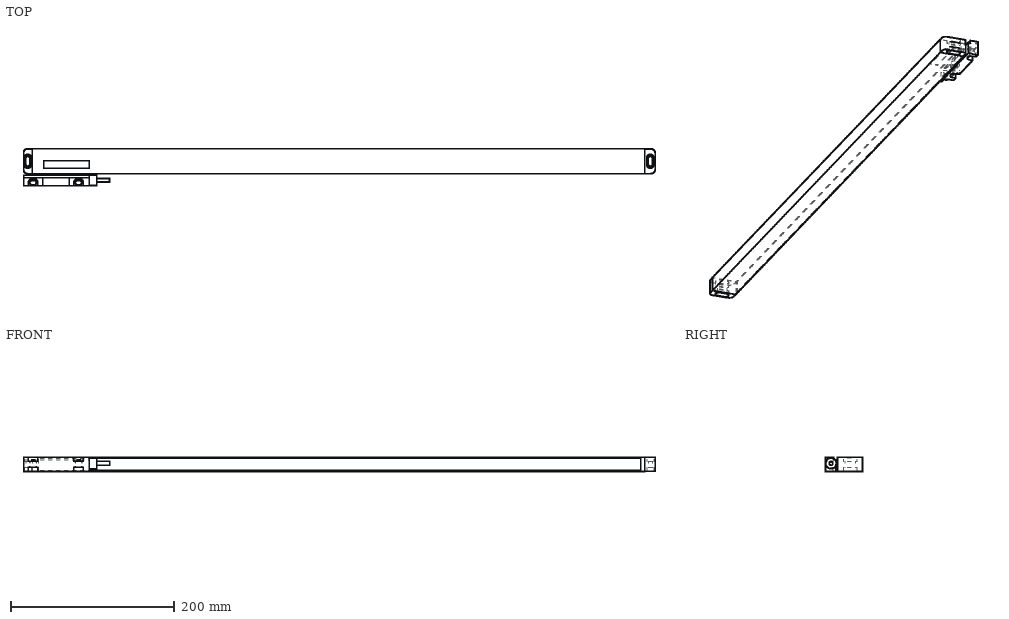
import cadquery as cq

LENGTH = 775.0
HEIGHT = 18.0

SCALE_FRONT_Y = 15.0
SCALE_BACK_Y = 46.0
SCALE_WIDTH = SCALE_BACK_Y - SCALE_FRONT_Y
SCALE_MID_Y = (SCALE_FRONT_Y + SCALE_BACK_Y) / 2
LEFT_CAP_LENGTH = 11.0
RIGHT_CAP_LENGTH = 13.0
CAP_INSET = 0.15
LEFT_CORNER_RADIUS = 5.0
RIGHT_CORNER_RADIUS = 5.8

LEFT_SLOT_X = 5.0
RIGHT_SLOT_X = 769.0
SLOT_WIDTH = 5.0
SLOT_LENGTH = 12.5
SLOT_POCKET_WIDTH = 8.5
SLOT_POCKET_LENGTH = 17.0
SLOT_POCKET_DEPTH = 5.5

RECESS_DEPTH = 1.0
LABEL_X = 25.0
LABEL_LENGTH = 56.0
LABEL_Y = 22.0
LABEL_WIDTH = 9.0
FACE_LIP = 1.5
FACE_END_MARGIN = 18.0

HEAD_LENGTH = 80.5
HEAD_WIDTH = 13.0
BACK_STEP = 3.0
HOLE_X = 12.0
HOLE_SPACING = 56.0
HOLE_Y = 4.0
HOLE_WIDTH = 5.5
HOLE_LENGTH = 8.0
COUNTERBORE_WIDTH = 10.0
COUNTERBORE_LENGTH = 12.0
COUNTERBORE_DEPTH = 5.5
TOP_RECESS_X = 23.0
TOP_RECESS_LENGTH = 32.5
TOP_RECESS_DEPTH = 0.4

CABLE_Y = 7.0
CABLE_Z = 10.0
SLEEVE_DIAMETER = 13.0
SLEEVE_LENGTH = 9.0
CABLE_DIAMETER = 5.0
CABLE_LENGTH = 15.5


def box(x, y, z, dx, dy, dz):
    """A box from its lowest corner and its sizes."""
    return cq.Workplane("XY").box(dx, dy, dz, centered=False).translate((x, y, z))


def end_cap(start_x, length, outer_side, corner_radius):
    """A cap with rounded upright corners on its outer side, which is "<X" or ">X"."""
    cap = box(
        start_x, SCALE_FRONT_Y + CAP_INSET, CAP_INSET,
        length, SCALE_WIDTH - 2 * CAP_INSET, HEIGHT - 2 * CAP_INSET,
    )
    return cap.edges("|Z and " + outer_side).fillet(corner_radius)


def upright_slot(x, y, length, width, bottom, height, angle):
    """A round-ended slot cut along Z; at angle 0 it is long in X, at 90 in Y."""
    slot = cq.Workplane("XY", origin=(x, y, bottom))
    return slot.slot2D(length, width, angle).extrude(height)


def make_scale():
    profile_length = LENGTH - LEFT_CAP_LENGTH - RIGHT_CAP_LENGTH
    scale = box(LEFT_CAP_LENGTH, SCALE_FRONT_Y, 0, profile_length, SCALE_WIDTH, HEIGHT)
    scale = scale.union(end_cap(0, LEFT_CAP_LENGTH, "<X", LEFT_CORNER_RADIUS))
    scale = scale.union(
        end_cap(LENGTH - RIGHT_CAP_LENGTH, RIGHT_CAP_LENGTH, ">X", RIGHT_CORNER_RADIUS)
    )

    for x in (LEFT_SLOT_X, RIGHT_SLOT_X):
        scale = scale.cut(upright_slot(x, SCALE_MID_Y, SLOT_LENGTH, SLOT_WIDTH, 0, HEIGHT, 90))
        for bottom in (0, HEIGHT - SLOT_POCKET_DEPTH):
            pocket = upright_slot(
                x, SCALE_MID_Y, SLOT_POCKET_LENGTH, SLOT_POCKET_WIDTH, bottom, SLOT_POCKET_DEPTH, 90
            )
            scale = scale.cut(pocket)

    label = box(LABEL_X, LABEL_Y, HEIGHT - RECESS_DEPTH, LABEL_LENGTH, LABEL_WIDTH, RECESS_DEPTH)
    face = box(
        FACE_END_MARGIN, SCALE_FRONT_Y, FACE_LIP,
        LENGTH - 2 * FACE_END_MARGIN, RECESS_DEPTH, HEIGHT - 2 * FACE_LIP,
    )
    return scale.cut(label).cut(face)


def cable_rod(diameter, length):
    """A round rod along +X from the end face of the head."""
    rod = cq.Workplane("YZ", origin=(HEAD_LENGTH, CABLE_Y, CABLE_Z))
    return rod.circle(diameter / 2).extrude(length)


def make_head():
    head = box(0, 0, 0, HEAD_LENGTH, HEAD_WIDTH, HEIGHT)
    head = head.cut(
        box(0, HEAD_WIDTH - BACK_STEP, HEIGHT - BACK_STEP, HEAD_LENGTH, BACK_STEP, BACK_STEP)
    )

    for x in (HOLE_X, HOLE_X + HOLE_SPACING):
        head = head.cut(upright_slot(x, HOLE_Y, HOLE_LENGTH, HOLE_WIDTH, 0, HEIGHT, 0))
        for bottom in (0, HEIGHT - COUNTERBORE_DEPTH):
            counterbore = upright_slot(
                x, HOLE_Y, COUNTERBORE_LENGTH, COUNTERBORE_WIDTH, bottom, COUNTERBORE_DEPTH, 0
            )
            opening = box(
                x - COUNTERBORE_LENGTH / 2, 0, bottom,
                COUNTERBORE_LENGTH, HOLE_Y, COUNTERBORE_DEPTH,
            )
            head = head.cut(counterbore).cut(opening)

    top_recess = box(
        TOP_RECESS_X, 0, HEIGHT - TOP_RECESS_DEPTH,
        TOP_RECESS_LENGTH, HEAD_WIDTH - BACK_STEP, TOP_RECESS_DEPTH,
    )
    head = head.cut(top_recess)
    head = head.union(cable_rod(SLEEVE_DIAMETER, SLEEVE_LENGTH))
    return head.union(cable_rod(CABLE_DIAMETER, SLEEVE_LENGTH + CABLE_LENGTH))


scale = make_scale()
head = make_head()
result = cq.Compound.makeCompound([scale.val(), head.val()])